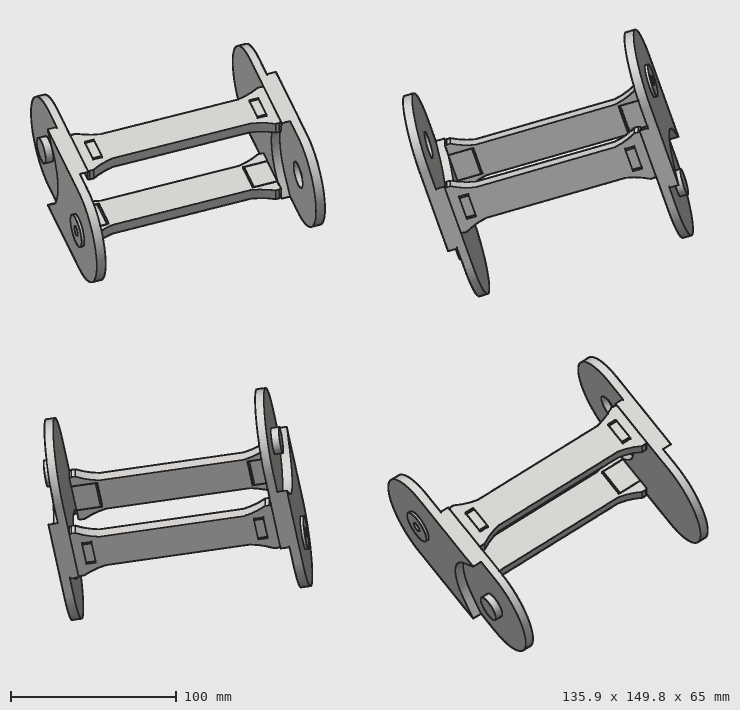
import cadquery as cq
import math


link_length = 135.9
link_width = 149.8
link_height = 65.0
end_radius = link_height / 2
pitch = link_length - link_height

boss_thickness = 1.8
outer_slab_thickness = 5.8
inner_slab_thickness = 5.4
outer_face_y = link_width / 2 - boss_thickness
slab_joint_y = outer_face_y - outer_slab_thickness
inner_face_y = slab_joint_y - inner_slab_thickness
clearance_radius = 33.1

pin_diameter = 16.0
pin_length = 4.8
boss_diameter = 20.2
pivot_hole_diameter = 6.0
pin_socket_diameter = 16.5
pin_socket_depth = 4.3

bar_center_x = 39.5
bar_thickness = 7.6
bar_end_width = 32.4
bar_waist_width = 21.7
bar_end_length = 3.6
bar_flare_length = 14.1
bar_flare_radius = 45.0
bar_corner_inset = 0.5
bar_corner_length = 1.2
bar_bottom_z = end_radius - bar_thickness

socket_width = 18.1
socket_length = 15.9
socket_depth = 3.7
tongue_recess = 0.5
tongue_end_gap = 1.0
window_width = 15.9
window_length = 5.8
window_offset = 6.3
catch_width = 13.5


def slab(round_x, relief_x, inner_y, thickness):
    """Slab with a round end about round_x and a concave relief about relief_x.

    The relief arc runs out to the slab edges along 45 degree tangents.
    """
    toward_round = math.copysign(1, round_x - relief_x)
    tangent_offset = clearance_radius * math.sqrt(0.5)
    tangent_x = relief_x + toward_round * tangent_offset
    corner_x = relief_x + toward_round * (clearance_radius * math.sqrt(2) - end_radius)
    return (
        cq.Workplane("XZ", origin=(0, -inner_y, 0))
        .moveTo(round_x, end_radius)
        .threePointArc((round_x + toward_round * end_radius, 0), (round_x, -end_radius))
        .lineTo(corner_x, -end_radius)
        .lineTo(tangent_x, -tangent_offset)
        .threePointArc(
            (relief_x + toward_round * clearance_radius, 0),
            (tangent_x, tangent_offset),
        )
        .lineTo(corner_x, end_radius)
        .close()
        .extrude(thickness)
    )


def disc(center_x, inner_y, diameter, thickness):
    """Disc about a Y axis, growing outward (-Y) from inner_y."""
    return (
        cq.Workplane("XZ", origin=(center_x, -inner_y, 0))
        .circle(diameter / 2)
        .extrude(thickness)
    )


def bar_block(width, plate_distance, length, bottom_z, height):
    """Box centred on the bar in X, starting plate_distance from the -Y plate face."""
    start_y = plate_distance - inner_face_y
    return (
        cq.Workplane("XY", origin=(bar_center_x, start_y + length / 2, bottom_z))
        .box(width, length, height, centered=(True, True, False))
    )


def upper_tongue():
    """Snap tongue with its catch, standing on the inner face of the -Y plate."""
    tongue_length = socket_length - tongue_end_gap
    tongue_bottom_z = bar_bottom_z + tongue_recess
    tongue_thickness = socket_depth - tongue_recess
    catch_height = end_radius - tongue_bottom_z
    tongue = bar_block(socket_width, 0, tongue_length, tongue_bottom_z, tongue_thickness)
    catch = bar_block(catch_width, window_offset, window_length, tongue_bottom_z, catch_height)
    return tongue.union(catch)


def side_plate():
    """The -Y side plate with its pin, pivot boss and two snap tongues."""
    plate = slab(0, pitch, inner_face_y, inner_slab_thickness)
    plate = plate.union(slab(pitch, 0, slab_joint_y, outer_slab_thickness))
    plate = plate.union(disc(0, slab_joint_y, pin_diameter, pin_length))
    plate = plate.union(disc(pitch, outer_face_y, boss_diameter, boss_thickness))
    hole_depth = outer_slab_thickness + boss_thickness
    plate = plate.cut(disc(pitch, slab_joint_y, pivot_hole_diameter, hole_depth))
    plate = plate.cut(disc(pitch, slab_joint_y, pin_socket_diameter, pin_socket_depth))
    tongue = upper_tongue()
    return plate.union(tongue).union(tongue.mirror("XY"))


def crossbar():
    """The upper crossbar: a waisted bar with bevelled tips, a socket and a window at each end."""
    end_half = bar_end_width / 2
    tip_half = end_half - bar_corner_inset
    waist_half = bar_waist_width / 2
    corner_y = inner_face_y - bar_corner_length
    flare_end_y = inner_face_y - bar_end_length
    waist_end_y = flare_end_y - bar_flare_length
    bar = (
        cq.Workplane("XY", origin=(bar_center_x, 0, bar_bottom_z))
        .moveTo(-tip_half, -inner_face_y)
        .lineTo(tip_half, -inner_face_y)
        .lineTo(end_half, -corner_y)
        .lineTo(end_half, -flare_end_y)
        .radiusArc((waist_half, -waist_end_y), bar_flare_radius)
        .lineTo(waist_half, waist_end_y)
        .radiusArc((end_half, flare_end_y), bar_flare_radius)
        .lineTo(end_half, corner_y)
        .lineTo(tip_half, inner_face_y)
        .lineTo(-tip_half, inner_face_y)
        .lineTo(-end_half, corner_y)
        .lineTo(-end_half, flare_end_y)
        .radiusArc((-waist_half, waist_end_y), bar_flare_radius)
        .lineTo(-waist_half, -waist_end_y)
        .radiusArc((-end_half, -flare_end_y), bar_flare_radius)
        .lineTo(-end_half, -corner_y)
        .close()
        .extrude(bar_thickness)
    )
    socket = bar_block(socket_width, 0, socket_length, bar_bottom_z, socket_depth)
    window = bar_block(window_width, window_offset, window_length, bar_bottom_z, bar_thickness)
    recess = socket.union(window)
    return bar.cut(recess).cut(recess.mirror("XZ"))


near_plate = side_plate()
upper_bar = crossbar()

side_plates = [near_plate, near_plate.mirror("XZ")]
crossbars = [upper_bar, upper_bar.mirror("XY")]

result = cq.Compound.makeCompound([body.val() for body in side_plates + crossbars])